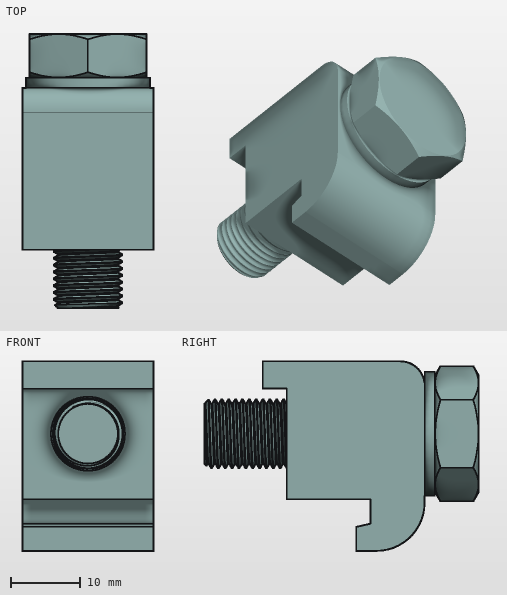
import cadquery as cq
import math


BLOCK_WIDTH = 19.0
BLOCK_DEPTH = 20.0
BLOCK_HEIGHT = 20.0
LIP_REACH = 23.5
LIP_THICKNESS = 3.98
TOTAL_HEIGHT = 27.5
HOOK_REACH = 9.95
HOOK_NOTCH_DEPTH = 7.9
HOOK_ROOT_DROP = 3.5
HOOK_TIP_DROP = 3.98
TOP_RADIUS = 3.5
BOTTOM_RADIUS = 7.0
AXIS_BELOW_TOP = 10.5
HOLE_DIAMETER = 10.23
HOLE_MOUTH_DIAMETER = 10.75

WASHER_DIAMETER = 18.03
WASHER_THICKNESS = 1.47

HEAD_ACROSS_FLATS = 17.0
HEAD_HEIGHT = 6.35
HEAD_FACE_DIAMETER = 16.85
HEAD_CHAMFER_ANGLE = 30
BOLT_LENGTH = 39.8
THREAD_DIAMETER = 10.0
TIP_DIAMETER = 8.65
THREAD_PITCH = 1.0
THREAD_DEPTH = 0.6
THREAD_HALF_ANGLE = 30
CREST_WIDTH = 0.1
HIDDEN_THREAD_TURNS = 1
GROOVE_TO_TIP = 0.3
GROOVE_OVERCUT = 0.05
BLANK_EXTRA_TURNS = 3
ENVELOPE_CLEARANCE = 0.8

HEAD_ACROSS_CORNERS = HEAD_ACROSS_FLATS / math.cos(math.radians(30))
SHANK_LENGTH = BOLT_LENGTH - HEAD_HEIGHT


def make_block():
    """C-shaped clamp block: an upper lip, a lower hook and a bolt hole with a bevelled mouth."""
    top = AXIS_BELOW_TOP
    lip_underside = top - LIP_THICKNESS
    block_underside = top - BLOCK_HEIGHT
    bottom = top - TOTAL_HEIGHT
    outline = [
        (0, top),
        (-LIP_REACH, top),
        (-LIP_REACH, lip_underside),
        (-BLOCK_DEPTH, lip_underside),
        (-BLOCK_DEPTH, block_underside),
        (-HOOK_NOTCH_DEPTH, block_underside),
        (-HOOK_NOTCH_DEPTH, block_underside - HOOK_ROOT_DROP),
        (-HOOK_REACH, block_underside - HOOK_TIP_DROP),
        (-HOOK_REACH, bottom),
        (0, bottom),
    ]
    body = cq.Workplane("YZ").polyline(outline).close().extrude(BLOCK_WIDTH / 2, both=True)
    body = body.edges("|X and >Y and >Z").fillet(TOP_RADIUS)
    body = body.edges("|X and >Y and <Z").fillet(BOTTOM_RADIUS)
    hole_radius = HOLE_DIAMETER / 2
    mouth_radius = HOLE_MOUTH_DIAMETER / 2
    mouth_depth = mouth_radius - hole_radius
    hole = (
        cq.Workplane("XY")
        .polyline([
            (0, 0),
            (hole_radius, 0),
            (hole_radius, mouth_depth - BLOCK_DEPTH),
            (mouth_radius, -BLOCK_DEPTH),
            (0, -BLOCK_DEPTH),
        ])
        .close()
        .revolve(360, (0, 0), (0, 1))
    )
    return body.cut(hole)


def make_washer():
    """Flat ring between the block and the bolt head."""
    ring = cq.Workplane("XZ").circle(WASHER_DIAMETER / 2).circle(HOLE_DIAMETER / 2)
    return ring.extrude(-WASHER_THICKNESS)


def make_head():
    """Hexagon from Z = -HEAD_HEIGHT to Z = 0, with its corners chamfered at both ends."""
    corner_radius = HEAD_ACROSS_CORNERS / 2
    face_radius = HEAD_FACE_DIAMETER / 2
    chamfer_height = (corner_radius - face_radius) * math.tan(math.radians(HEAD_CHAMFER_ANGLE))
    hexagon = (
        cq.Workplane("XY")
        .polygon(6, HEAD_ACROSS_CORNERS)
        .extrude(-HEAD_HEIGHT)
        .rotate((0, 0, 0), (0, 0, 1), 90)
    )
    envelope = (
        cq.Workplane("XZ")
        .polyline([
            (0, 0),
            (face_radius, 0),
            (corner_radius, -chamfer_height),
            (corner_radius, chamfer_height - HEAD_HEIGHT),
            (face_radius, -HEAD_HEIGHT),
            (0, -HEAD_HEIGHT),
        ])
        .close()
        .revolve(360, (0, 0), (0, 1))
    )
    return hexagon.intersect(envelope)


def make_thread_groove():
    """Right-handed helical groove that runs from inside the block to past the bolt tip."""
    thread_length = SHANK_LENGTH - WASHER_THICKNESS - BLOCK_DEPTH
    turns = math.ceil(thread_length / THREAD_PITCH) + HIDDEN_THREAD_TURNS
    start = SHANK_LENGTH - GROOVE_TO_TIP - turns * THREAD_PITCH
    root_radius = THREAD_DIAMETER / 2 - THREAD_DEPTH
    outer_radius = THREAD_DIAMETER / 2 + GROOVE_OVERCUT
    flank_slope = math.tan(math.radians(THREAD_HALF_ANGLE))
    outer_half_width = (THREAD_PITCH - CREST_WIDTH) / 2 + GROOVE_OVERCUT * flank_slope
    root_half_width = (THREAD_PITCH - CREST_WIDTH) / 2 - THREAD_DEPTH * flank_slope

    path = cq.Wire.makeHelix(THREAD_PITCH, (turns + 1) * THREAD_PITCH, root_radius)
    profile = cq.Workplane("XZ").polyline([
        (root_radius, -root_half_width),
        (outer_radius, -outer_half_width),
        (outer_radius, outer_half_width),
        (root_radius, root_half_width),
    ]).close()
    return profile.sweep(path, isFrenet=True).translate((0, 0, start))


def make_shank_envelope():
    """Space that the finished shank fills: flat at the tip, with a 45 degree bevel around it."""
    tip_radius = TIP_DIAMETER / 2
    outer_radius = THREAD_DIAMETER / 2 + ENVELOPE_CLEARANCE
    bevel_height = outer_radius - tip_radius
    return (
        cq.Workplane("XZ")
        .polyline([
            (0, 0),
            (outer_radius, 0),
            (outer_radius, SHANK_LENGTH - bevel_height),
            (tip_radius, SHANK_LENGTH),
            (0, SHANK_LENGTH),
        ])
        .close()
        .revolve(360, (0, 0), (0, 1))
    )


def make_shank():
    """Threaded shank, grooved on a blank longer than the groove and then trimmed at the tip."""
    blank_length = SHANK_LENGTH + BLANK_EXTRA_TURNS * THREAD_PITCH
    blank = cq.Workplane("XY").circle(THREAD_DIAMETER / 2).extrude(blank_length)
    grooved = blank.cut(make_thread_groove(), clean=False)
    return grooved.intersect(make_shank_envelope(), clean=False)


def make_bolt():
    """Hexagon-head bolt, modelled along +Z and then laid along -Y with its head on the washer."""
    bolt = make_shank().union(make_head(), clean=False)
    return bolt.rotate((0, 0, 0), (1, 0, 0), 90).translate((0, WASHER_THICKNESS, 0))


block = make_block()
washer = make_washer()
bolt = make_bolt()

result = cq.Compound.makeCompound([block.solids().val(), washer.val(), bolt.solids().val()])